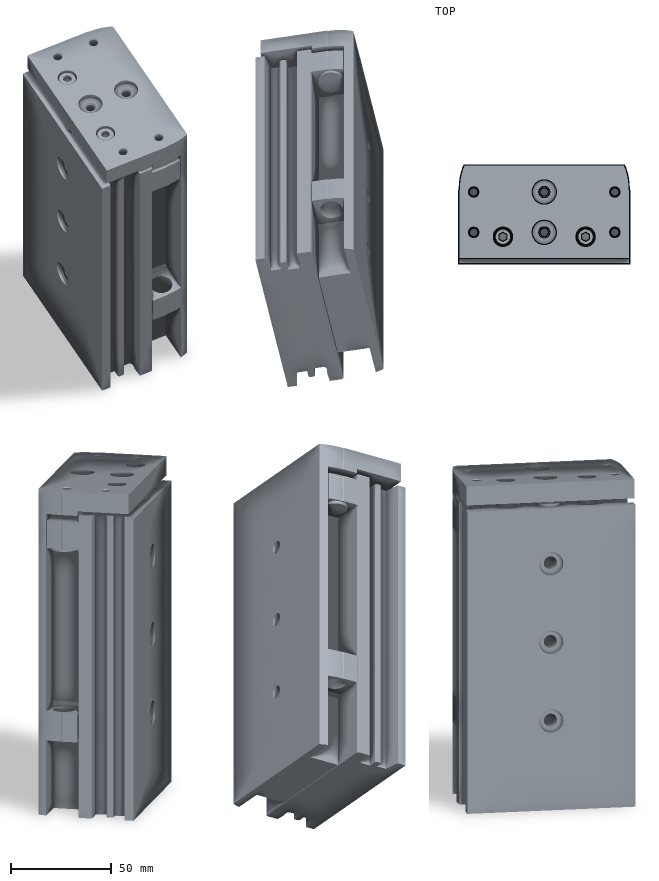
import cadquery as cq

WIDTH = 85.0
DEPTH = 49.0
HEIGHT = 166.0
HALF_WIDTH = WIDTH / 2

END_PLATE_THICKNESS = 9.7
END_PLATE_FRONT = 2.6
STEP_DROP = 2.3
TABLE_FRONT = 28.7
BACK_PLATE_FRONT = 44.7
SIDE_STEP_START = 36.1
SIDE_STEP = 0.3
CROWN_START = 36.8
CROWN_RADIUS = 30.0
CROWN_HALF_WIDTH = 39.8
RIB_HALF_WIDTH = 25.0
CORNER_CHAMFER = 1.75
STOP_BLOCK_BOTTOM = 38.4
STOP_BLOCK_TOP = 53.1
END_PLATE_BOTTOM = HEIGHT - END_PLATE_THICKNESS
STEP_BOTTOM = END_PLATE_BOTTOM - STEP_DROP

HOUSING_TOP = 153.6
BODY_BACK = 28.2
BODY_CHAMFER = 0.6
EAR_BACK = 44.2
EAR_BOTTOM = 136.5
EAR_TOP = STEP_BOTTOM - 2 * CORNER_CHAMFER
EAR_FILLET = 1.1
FLANGE_EDGE = 4.6
FLANGE_ROOT = 6.2
NECK_DEPTH = 8.5
RAIL_DEPTH = 4.3
LIP_DEPTH = 5.5
SLOT_DEPTH = 9.6
RAIL_FRONT = 11.4
RAIL_BACK = 14.8
RAIL_CHAMFER = 0.6
SLOT_LIP = 20.9
SLOT_BACK = 21.2
SLOT_CHAMFER = 1.0
ROD_SEAT_DIAMETER = 20.0
ROD_SEAT_DEPTH = 0.5

MOUNT_DIAMETER = 6.65
COUNTERBORE_DIAMETER = 12.0
COUNTERBORE_DEPTH = 2.5
MOUNT_PITCH = 40.0
LOWEST_MOUNT = 45.3
MOUNT_HEIGHTS = [LOWEST_MOUNT + MOUNT_PITCH * row for row in range(3)]

PLATE_HOLE_ROWS = (15.6, 35.6)
TAP_X = 35.0
TAP_DIAMETER = 4.13
TAP_MOUTH = 5.1
TAP_DEPTH = 8.0
CENTRE_MOUTH = 5.5

ROD_X = 20.5
ROD_Y = 13.4
ROD_DIAMETER = 10.0
SCREW_RECESS_DIAMETER = 9.6
SCREW_RECESS_DEPTH = 4.0
SCREW_HEAD_DIAMETER = 8.5
SCREW_HEAD_DROP = 0.8
SCREW_HEAD_CHAMFER = 0.4
SOCKET_ACROSS_CORNERS = 4.62
SOCKET_TURN = 30.0
SOCKET_DEPTH = 2.5

STOP_BOLT_Y = 8.8
STOP_COLLAR_DIAMETER = 12.5
STOP_COLLAR_HEIGHT = 1.5
STOP_HEAD_DIAMETER = 9.0
STOP_HEAD_HEIGHT = 1.0
DAMPER_X = 35.0
DAMPER_DIAMETER = 13.0
DAMPER_Y = 37.0
DAMPER_STICKOUT = 1.5
STOP_HOLE_DIAMETER = 11.0


def box(x0, x1, y0, y1, z0, z1):
    return cq.Workplane("XY").box(x1 - x0, y1 - y0, z1 - z0, centered=False).translate((x0, y0, z0))


def cylinder(x, y, z0, z1, diameter):
    return cq.Workplane("XY", origin=(x, y, z0)).circle(diameter / 2).extrude(z1 - z0)


def along_y(shape_outline, y0, y1):
    """Extrude an XZ outline from y0 to y1."""
    return cq.Workplane("XZ", origin=(0, y0, 0)).polyline(shape_outline).close().extrude(y0 - y1)


def mirrored(points):
    """The same outline on the -X side."""
    return [(-x, y) for x, y in points]


def crowned_block(front):
    """Full-height block whose sides curve inwards towards the back."""
    return (
        cq.Workplane("XY")
        .moveTo(-HALF_WIDTH, front)
        .lineTo(HALF_WIDTH, front)
        .lineTo(HALF_WIDTH, SIDE_STEP_START)
        .lineTo(HALF_WIDTH - SIDE_STEP, CROWN_START)
        .radiusArc((CROWN_HALF_WIDTH, DEPTH), -CROWN_RADIUS)
        .lineTo(-CROWN_HALF_WIDTH, DEPTH)
        .radiusArc((SIDE_STEP - HALF_WIDTH, CROWN_START), -CROWN_RADIUS)
        .lineTo(-HALF_WIDTH, SIDE_STEP_START)
        .close()
        .extrude(HEIGHT)
    )


def mounting_holes():
    on_front = cq.Workplane("XZ").pushPoints([(0, z) for z in MOUNT_HEIGHTS])
    through = on_front.circle(MOUNT_DIAMETER / 2).extrude(-DEPTH)
    counterbores = on_front.circle(COUNTERBORE_DIAMETER / 2).extrude(-COUNTERBORE_DEPTH)
    return through.union(counterbores)


def table_section():
    """XZ outline of the rib, the stop block across it and the end plate on top."""
    ledge_x = RIB_HALF_WIDTH + CORNER_CHAMFER
    right = [
        (RIB_HALF_WIDTH, 0),
        (RIB_HALF_WIDTH, STOP_BLOCK_BOTTOM - CORNER_CHAMFER),
        (ledge_x, STOP_BLOCK_BOTTOM),
        (HALF_WIDTH, STOP_BLOCK_BOTTOM),
        (HALF_WIDTH, STOP_BLOCK_TOP),
        (ledge_x, STOP_BLOCK_TOP),
        (RIB_HALF_WIDTH, STOP_BLOCK_TOP + CORNER_CHAMFER),
        (RIB_HALF_WIDTH, STEP_BOTTOM - CORNER_CHAMFER),
        (ledge_x, STEP_BOTTOM),
        (HALF_WIDTH, STEP_BOTTOM),
        (HALF_WIDTH, HEIGHT),
    ]
    return right + mirrored(right)[::-1]


def tapped_hole(x, y, top, mouth_diameter):
    """Blind hole with a 45 degree countersunk mouth."""
    mouth_depth = (mouth_diameter - TAP_DIAMETER) / 2
    core = cylinder(x, y, HEIGHT - TAP_DEPTH, top, TAP_DIAMETER)
    mouth = cq.Solid.makeCone(
        TAP_DIAMETER / 2, mouth_diameter / 2, mouth_depth, cq.Vector(x, y, top - mouth_depth)
    )
    return core.union(cq.Workplane(mouth))


def end_plate_holes():
    cuts = cq.Workplane("XY")
    for y in PLATE_HOLE_ROWS:
        for x in (-TAP_X, TAP_X):
            cuts = cuts.union(tapped_hole(x, y, HEIGHT, TAP_MOUTH))
        floor = HEIGHT - COUNTERBORE_DEPTH
        cuts = cuts.union(tapped_hole(0, y, floor, CENTRE_MOUTH))
        cuts = cuts.union(cylinder(0, y, floor, HEIGHT, COUNTERBORE_DIAMETER))
    return cuts


def rod_end(x):
    """Exposed rod under the end plate, with its screw head in the recess above."""
    rod = cylinder(x, ROD_Y, HOUSING_TOP - ROD_SEAT_DEPTH, END_PLATE_BOTTOM, ROD_DIAMETER)
    head_top = HEIGHT - SCREW_HEAD_DROP
    head = cylinder(x, ROD_Y, HEIGHT - SCREW_RECESS_DEPTH, head_top, SCREW_HEAD_DIAMETER)
    head = head.faces(">Z").chamfer(SCREW_HEAD_CHAMFER)
    socket = (
        cq.Workplane("XY", origin=(x, ROD_Y, head_top))
        .transformed(rotate=(0, 0, SOCKET_TURN))
        .polygon(6, SOCKET_ACROSS_CORNERS)
        .extrude(-SOCKET_DEPTH)
    )
    return rod.union(head.cut(socket))


def build_table():
    section = along_y(table_section(), TABLE_FRONT, DEPTH)
    back_plate = box(-HALF_WIDTH, HALF_WIDTH, BACK_PLATE_FRONT, DEPTH, 0, HEIGHT)
    end_plate = box(-HALF_WIDTH, HALF_WIDTH, END_PLATE_FRONT, DEPTH, END_PLATE_BOTTOM, HEIGHT)
    table = section.union(back_plate).union(end_plate).intersect(crowned_block(END_PLATE_FRONT))
    table = table.cut(mounting_holes()).cut(end_plate_holes())
    recess_floor = HEIGHT - SCREW_RECESS_DEPTH
    for side in (-1, 1):
        stop_x = side * DAMPER_X
        rod_x = side * ROD_X
        stop_hole = cylinder(stop_x, DAMPER_Y, STOP_BLOCK_BOTTOM, STOP_BLOCK_TOP, STOP_HOLE_DIAMETER)
        recess = cylinder(rod_x, ROD_Y, recess_floor, HEIGHT, SCREW_RECESS_DIAMETER)
        table = table.cut(stop_hole).cut(recess).union(rod_end(rod_x))
    return table


def housing_profile():
    """XY outline of the housing: flange, neck, rail and slotted body."""
    neck = HALF_WIDTH - NECK_DEPTH
    rail = HALF_WIDTH - RAIL_DEPTH
    floor = HALF_WIDTH - SLOT_DEPTH
    lip = HALF_WIDTH - LIP_DEPTH
    right = [
        (HALF_WIDTH, 0),
        (HALF_WIDTH, FLANGE_EDGE),
        (neck, FLANGE_ROOT),
        (neck, RAIL_FRONT),
        (rail - RAIL_CHAMFER, RAIL_FRONT),
        (rail, RAIL_FRONT + RAIL_CHAMFER),
        (rail, RAIL_BACK - RAIL_CHAMFER),
        (rail - RAIL_CHAMFER, RAIL_BACK),
        (floor, RAIL_BACK),
        (floor, SLOT_BACK - SLOT_CHAMFER),
        (floor + SLOT_CHAMFER, SLOT_BACK),
        (lip, SLOT_BACK),
        (lip, SLOT_LIP),
        (HALF_WIDTH, SLOT_BACK),
        (HALF_WIDTH, BODY_BACK - BODY_CHAMFER),
        (HALF_WIDTH - BODY_CHAMFER, BODY_BACK),
    ]
    return right + mirrored(right)[::-1]


def ears():
    """Bearing blocks that reach back on both sides of the table's rib."""
    root = BODY_BACK - BODY_CHAMFER
    neck = root + EAR_FILLET
    ear = (
        cq.Workplane("YZ", origin=(RIB_HALF_WIDTH, 0, 0))
        .moveTo(root, EAR_BOTTOM - EAR_FILLET)
        .radiusArc((neck, EAR_BOTTOM), EAR_FILLET)
        .lineTo(EAR_BACK, EAR_BOTTOM)
        .lineTo(EAR_BACK, EAR_TOP)
        .lineTo(neck, EAR_TOP)
        .radiusArc((root, EAR_TOP + EAR_FILLET), EAR_FILLET)
        .close()
        .extrude(HALF_WIDTH - RIB_HALF_WIDTH)
    )
    ramp_outline = [
        (RIB_HALF_WIDTH, EAR_TOP),
        (RIB_HALF_WIDTH + CORNER_CHAMFER, EAR_TOP),
        (RIB_HALF_WIDTH, EAR_TOP + CORNER_CHAMFER),
    ]
    ear = ear.union(along_y(ramp_outline, neck, EAR_BACK)).intersect(crowned_block(0))
    damper = cylinder(DAMPER_X, DAMPER_Y, EAR_BOTTOM - DAMPER_STICKOUT, EAR_BOTTOM, DAMPER_DIAMETER)
    ear = ear.union(damper)
    return ear.union(ear.mirror("YZ"))


def stop_bolt():
    collar_top = HOUSING_TOP + STOP_COLLAR_HEIGHT
    collar = cylinder(0, STOP_BOLT_Y, HOUSING_TOP, collar_top, STOP_COLLAR_DIAMETER)
    head = cylinder(0, STOP_BOLT_Y, collar_top, collar_top + STOP_HEAD_HEIGHT, STOP_HEAD_DIAMETER)
    return collar.union(head)


def build_housing():
    housing = cq.Workplane("XY").polyline(housing_profile()).close().extrude(HOUSING_TOP)
    seat_floor = HOUSING_TOP - ROD_SEAT_DEPTH
    for x in (-ROD_X, ROD_X):
        housing = housing.cut(cylinder(x, ROD_Y, seat_floor, HOUSING_TOP, ROD_SEAT_DIAMETER))
    return housing.union(ears()).union(stop_bolt()).cut(mounting_holes())


table = build_table()
housing = build_housing()
result = cq.Compound.makeCompound([housing.val(), table.val()])